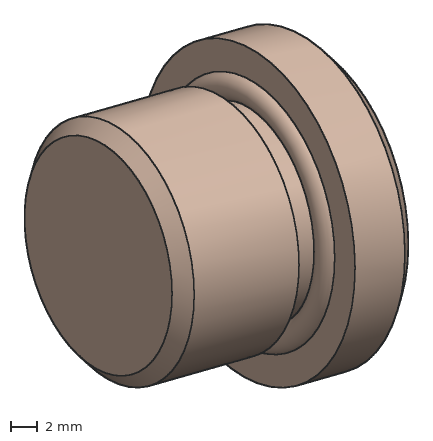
import cadquery as cq

head_diameter = 27.0
total_length = 20.0
head_thickness = 6.0
head_chamfer = 1.32

shank_diameter = 20.95
shank_chamfer = 1.2
undercut_diameter = 17.4
undercut_width = 3.0

ring_outer_diameter = 21.87
ring_height = 0.8

head_radius = head_diameter / 2
shank_radius = shank_diameter / 2
undercut_radius = undercut_diameter / 2
ring_outer_radius = ring_outer_diameter / 2
head_underside = total_length - head_thickness
shank_end = head_underside - undercut_width


def make_plug():
    """Revolve the half outline of head, undercut and shank about Y."""
    outline = (
        cq.Workplane("XY")
        .moveTo(0, 0)
        .lineTo(shank_radius - shank_chamfer, 0)
        .lineTo(shank_radius, shank_chamfer)
        .lineTo(shank_radius, shank_end)
        .lineTo(undercut_radius, shank_end)
        .lineTo(undercut_radius, head_underside)
        .lineTo(head_radius, head_underside)
        .lineTo(head_radius, total_length - head_chamfer)
        .lineTo(head_radius - head_chamfer, total_length)
        .lineTo(0, total_length)
        .close()
    )
    return outline.revolve(360, (0, 0, 0), (0, 1, 0))


def make_ring():
    """Revolve the ring's proud section, an arc from the undercut to the ring's rim."""
    crown_radius = (undercut_radius + ring_outer_radius) / 2
    crown = (crown_radius, head_underside - ring_height)
    outline = (
        cq.Workplane("XY")
        .moveTo(undercut_radius, head_underside)
        .threePointArc(crown, (ring_outer_radius, head_underside))
        .close()
    )
    return outline.revolve(360, (0, 0, 0), (0, 1, 0))


result = make_plug().union(make_ring())